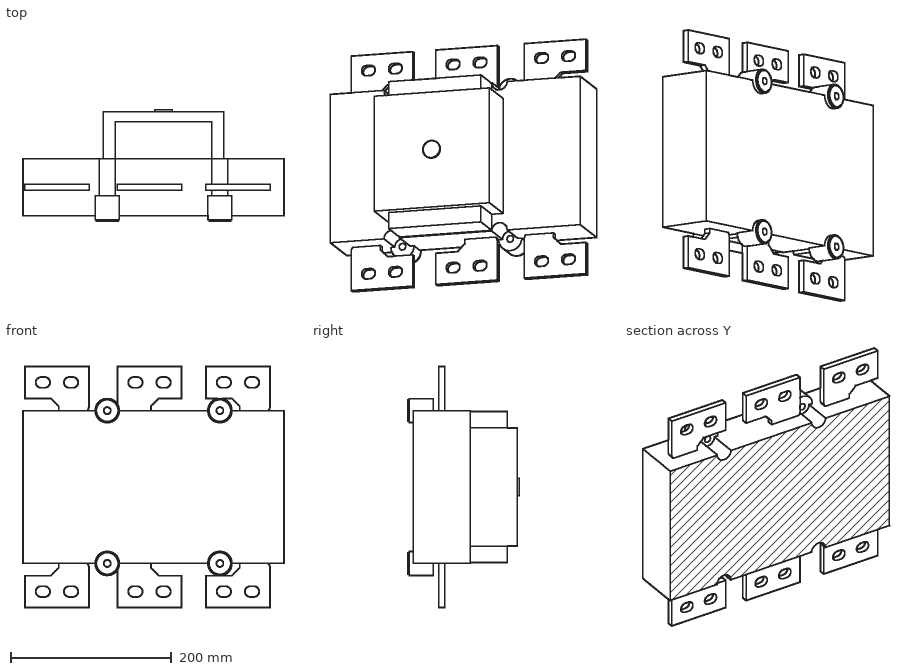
import cadquery as cq
OVERALL_HEIGHT = 300.0
OVERALL_DEPTH = 139.0

BODY_WIDTH = 325.0
BODY_HEIGHT = 190.0
BODY_DEPTH = 71.0

REAR_CENTRE_X = 12.5
COVER_WIDTH = 150.0
COVER_HEIGHT = 147.0
COVER_DEPTH = 58.5
CORE_WIDTH = 120.0
CORE_HEIGHT = 188.0
CORE_DEPTH = 46.0

BOSS_SPACING = 140.0
GROOVE_DIAMETER = 20.0
BOSS_DIAMETER = 30.0
BOSS_LENGTH = 32.0
BOSS_PROJECTION = 7.0
BOSS_STEP_DIAMETER = 27.0
BOSS_STEP_LENGTH = 2.0
BOSS_HOLE_DIAMETER = 8.4

BUTTON_DIAMETER = 22.0
BUTTON_HEIGHT = OVERALL_DEPTH - BOSS_PROJECTION - BODY_DEPTH - COVER_DEPTH

TAB_WIDTH = 80.0
TAB_THICKNESS = 8.0
TAB_TOP = OVERALL_HEIGHT / 2
TAB_WING_BOTTOM = 110.0
TAB_BOTTOM = 91.0
TAB_CHAMFER = 9.5
TAB_CORNER_RADIUS = 10.0
OUTER_NECK_WIDTH = 38.0
MIDDLE_NECK_WIDTH = 42.0
SLOT_LENGTH = 17.5
SLOT_HEIGHT = 13.0
SLOT_SPACING = 35.0
SLOT_Z = 130.0

TABS = [
    (-120.0, OUTER_NECK_WIDTH, 1),
    (-5.0, MIDDLE_NECK_WIDTH, -1),
    (105.0, OUTER_NECK_WIDTH, 1),
]


def block(width, depth, height, centre_x, front_y):
    """Box centred on centre_x and on Z = 0, with its front face at front_y."""
    return cq.Workplane("XY").box(width, depth, height).translate((centre_x, front_y + depth / 2, 0))


def rod(diameter, length, x, front_y, z):
    """Cylinder along +Y that starts at front_y."""
    axis_plane = cq.Workplane("XZ", origin=(x, front_y, z))
    return axis_plane.circle(diameter / 2).extrude(-length)


def upper_tab(centre_x, neck_width, neck_side):
    """Upper terminal tab: a slotted wing on a narrower neck that runs into the housing."""
    neck_edge = TAB_WIDTH / 2
    wing_edge = -TAB_WIDTH / 2
    step_x = neck_edge - neck_width
    outline = [
        (wing_edge, TAB_TOP),
        (neck_edge, TAB_TOP),
        (neck_edge, TAB_BOTTOM),
        (step_x, TAB_BOTTOM),
        (step_x, TAB_WING_BOTTOM - TAB_CHAMFER),
        (step_x - TAB_CHAMFER, TAB_WING_BOTTOM),
        (wing_edge, TAB_WING_BOTTOM),
    ]
    tab = cq.Workplane("XZ").polyline(outline).close().extrude(TAB_THICKNESS / 2, both=True)
    neck_corner = cq.selectors.NearestToPointSelector((neck_edge, 0, TAB_BOTTOM))
    tab = tab.edges("|Y").edges(neck_corner).fillet(TAB_CORNER_RADIUS)
    slots = (
        cq.Workplane("XZ", origin=(0, 0, SLOT_Z))
        .pushPoints([(-SLOT_SPACING / 2, 0), (SLOT_SPACING / 2, 0)])
        .slot2D(SLOT_LENGTH, SLOT_HEIGHT)
        .extrude(TAB_THICKNESS, both=True)
    )
    tab = tab.cut(slots)
    if neck_side < 0:
        tab = tab.mirror("YZ")
    return tab.translate((centre_x, BODY_DEPTH / 2, 0))


def mounting_boss(x, z):
    """Boss with a narrower stepped front end that stands proud of the mounting face."""
    step = rod(BOSS_STEP_DIAMETER, BOSS_STEP_LENGTH, x, -BOSS_PROJECTION, z)
    shoulder_y = BOSS_STEP_LENGTH - BOSS_PROJECTION
    return step.union(rod(BOSS_DIAMETER, BOSS_LENGTH - BOSS_STEP_LENGTH, x, shoulder_y, z))


def boss_openings(x, z):
    """Screw hole through the boss and the wider groove from the boss to the back of the housing."""
    hole = rod(BOSS_HOLE_DIAMETER, BOSS_LENGTH, x, -BOSS_PROJECTION, z)
    boss_back = BOSS_LENGTH - BOSS_PROJECTION
    return hole.union(rod(GROOVE_DIAMETER, BODY_DEPTH - boss_back, x, boss_back, z))


cover_back = BODY_DEPTH + COVER_DEPTH
result = block(BODY_WIDTH, BODY_DEPTH, BODY_HEIGHT, 0, 0)
result = result.union(block(COVER_WIDTH, COVER_DEPTH, COVER_HEIGHT, REAR_CENTRE_X, BODY_DEPTH))
result = result.union(block(CORE_WIDTH, CORE_DEPTH, CORE_HEIGHT, REAR_CENTRE_X, BODY_DEPTH))
result = result.union(rod(BUTTON_DIAMETER, BUTTON_HEIGHT, REAR_CENTRE_X, cover_back, 0))

for tab_x, tab_neck_width, tab_neck_side in TABS:
    terminal = upper_tab(tab_x, tab_neck_width, tab_neck_side)
    result = result.union(terminal).union(terminal.mirror("XY"))

for side in (-1, 1):
    boss_x = REAR_CENTRE_X + side * BOSS_SPACING / 2
    for end in (-1, 1):
        boss_z = end * BODY_HEIGHT / 2
        result = result.union(mounting_boss(boss_x, boss_z))
        result = result.cut(boss_openings(boss_x, boss_z))